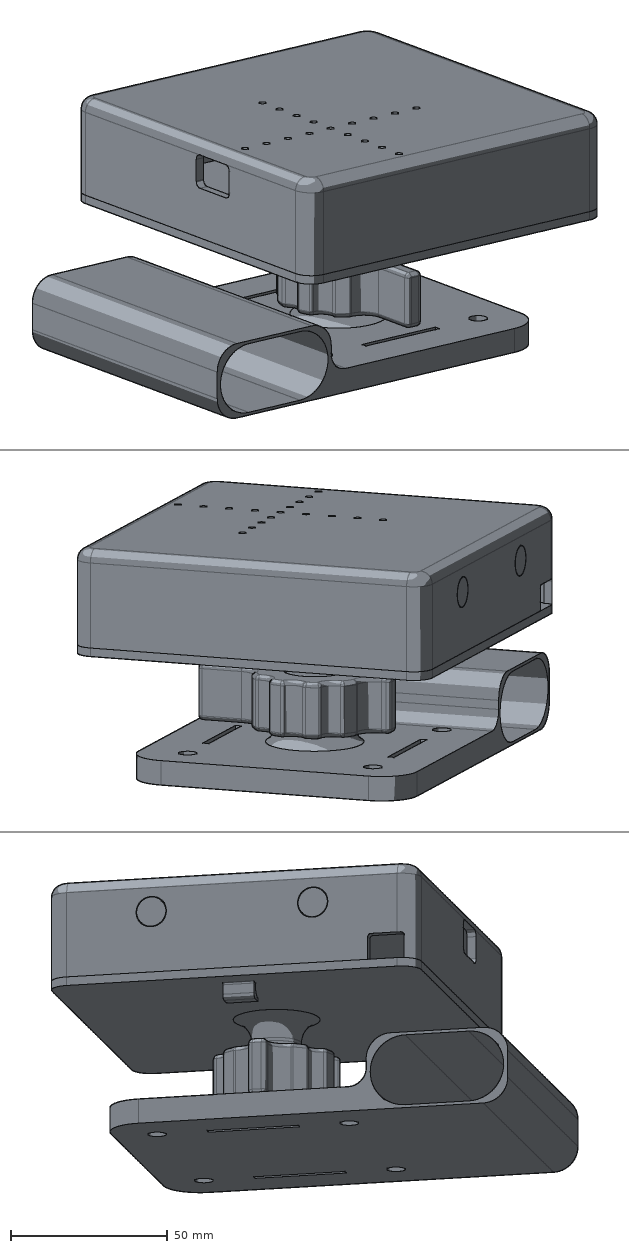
import cadquery as cq
import math


CASE_X = 120.8
CASE_Y = 121.7
CASE_TOP = 78.2
CASE_HEIGHT = 34.6
CASE_CORNER = 6.4
CASE_TOP_ROUND = 4.0
WALL = 3.0
CAVITY_CORNER = 2.2
LID_BOTTOM = CASE_TOP - CASE_HEIGHT
LID_THICKNESS = 2.8
SEAM_Z = LID_BOTTOM + LID_THICKNESS

FRONT_WINDOW_LEFT = 3.0
FRONT_WINDOW_WIDTH = 17.0
FRONT_WINDOW_HEIGHT = 11.1
FRONT_WINDOW_ROUND = 2.0
FRONT_WINDOW_TOP = CASE_TOP - CASE_TOP_ROUND

SIDE_WINDOW_Y = -50.7
SIDE_WINDOW_WIDTH = 11.9
SIDE_WINDOW_HEIGHT = 8.5
SIDE_WINDOW_ROUND = 1.0

CROSS_X = 18.5
CROSS_Y = -18.1
CROSS_PITCH = 8.8
CROSS_ARM_HOLES = 4
CROSS_HOLE_DIAMETER = 2.2

INSERT_DIAMETER = 9.7
INSERT_HOLE_DIAMETER = 10.0
INSERT_Y = 26.6
INSERT_Z = 66.3

HOOK_LEFT = -51.7
HOOK_NECK = 2.1
HOOK_REACH = 5.3
HOOK_HEIGHT = 5.3
HOOK_LIP = 1.0
HOOK_WIDTH = 10.3
HOOK_ROUND = 1.6
HOOK_ROOT_ROUND = 0.6
HOOK_THROAT = HOOK_REACH - HOOK_NECK

FLANGE_DIAMETER = 27.8
NECK_DIAMETER = 15.9
NECK_LENGTH = 1.0
NECK_FLARE = 8.0
BALL_DIAMETER = 22.7
BALL_RADIUS = BALL_DIAMETER / 2
NECK_RADIUS = NECK_DIAMETER / 2
FLARE_CENTRE_R = NECK_RADIUS + NECK_FLARE
NECK_TOP = LID_BOTTOM - math.sqrt(NECK_FLARE**2 - (FLARE_CENTRE_R - FLANGE_DIAMETER / 2) ** 2)
NECK_BOTTOM = NECK_TOP - NECK_LENGTH
FLARE_TO_BALL = NECK_FLARE + BALL_RADIUS
BALL_Z = NECK_BOTTOM - math.sqrt(FLARE_TO_BALL**2 - FLARE_CENTRE_R**2)

HOLDER_WIDTH = 95.1
HOLDER_FRONT = CASE_Y / 2 - 148.6
HOLDER_BACK = 45.9
PLATE_THICKNESS = 8.0
PLATE_CORNER = 12.0
TUBE_LENGTH = 46.7
TUBE_HEIGHT = 25.0
TUBE_ROUND = 8.0
TUBE_OPENING_LENGTH = 44.0
TUBE_OPENING_HEIGHT = 23.0
TUBE_FILLET = 6.0
TUBE_BACK = HOLDER_FRONT + TUBE_LENGTH
PLATE_HOLE_DIAMETER = 6.0
PLATE_HOLE_OFFSET = 31.7
SLOT_LENGTH = 30.0
SLOT_WIDTH = 2.1

POST_FOOT_DIAMETER = 31.5
POST_DIAMETER = 25.3
POST_FLARE_TOP = 12.8
POST_FLARE_RADIUS = 6.7

NUT_BOTTOM = 12.8
NUT_TOP = 31.2
NUT_RADIUS = 20.4
NUT_OPENING_DIAMETER = 19.9
NUT_EDGE_ROUND = 1.5
WING_SHORT = 26.9
WING_LONG = 39.0
WING_WIDTH = 6.0
WING_CORNER = 1.5
WING_SCOOP_RADIUS = 6.0
WING_SCOOP_X = 23.9
WING_SCOOP_Y = WING_WIDTH / 2 + WING_SCOOP_RADIUS
FLUTE_PITCH_ANGLE = 36
FLUTE_RADIUS = 4.0
FLUTE_CENTRE_R = 22.0
FLUTES_PER_SIDE = 3
LAND_ROUND = 1.2


def rounded_block(size_x, size_y, bottom, top, corner):
    """Block centred on the Z axis with rounded vertical edges."""
    block = cq.Workplane("XY").workplane(offset=bottom).rect(size_x, size_y).extrude(top - bottom)
    return block.edges("|Z").fillet(corner)


def cylinder(diameter, bottom, top):
    """Vertical cylinder on the Z axis."""
    return cq.Workplane("XY").workplane(offset=bottom).circle(diameter / 2).extrude(top - bottom)


def make_ball():
    return cq.Workplane("XY").sphere(BALL_RADIUS).translate((0, 0, BALL_Z))


def front_window():
    return (
        cq.Workplane("XY")
        .box(FRONT_WINDOW_WIDTH, 2 * WALL, FRONT_WINDOW_HEIGHT)
        .edges("|Y")
        .fillet(FRONT_WINDOW_ROUND)
        .translate((
            FRONT_WINDOW_LEFT + FRONT_WINDOW_WIDTH / 2,
            -CASE_Y / 2 + WALL / 2,
            FRONT_WINDOW_TOP - FRONT_WINDOW_HEIGHT / 2,
        ))
    )


def side_window():
    return (
        cq.Workplane("XY")
        .box(2 * CASE_CORNER, SIDE_WINDOW_WIDTH, SIDE_WINDOW_HEIGHT)
        .edges("|X and >Z")
        .fillet(SIDE_WINDOW_ROUND)
        .translate((-CASE_X / 2, SIDE_WINDOW_Y, SEAM_Z + SIDE_WINDOW_HEIGHT / 2))
    )


def cross_holes():
    steps = [i * CROSS_PITCH for i in range(-CROSS_ARM_HOLES, CROSS_ARM_HOLES + 1)]
    row = [(CROSS_X + step, CROSS_Y) for step in steps]
    column = [(CROSS_X, CROSS_Y + step) for step in steps if step != 0]
    return (
        cq.Workplane("XY")
        .workplane(offset=CASE_TOP - WALL)
        .pushPoints(row + column)
        .circle(CROSS_HOLE_DIAMETER / 2)
        .extrude(WALL)
    )


def wall_disc(diameter, y):
    """Disc through the thickness of the left wall."""
    disc = cq.Workplane("YZ").workplane(offset=-CASE_X / 2).center(y, INSERT_Z)
    return disc.circle(diameter / 2).extrude(WALL)


def make_cover():
    cover = rounded_block(CASE_X, CASE_Y, SEAM_Z, CASE_TOP, CASE_CORNER)
    cover = cover.faces(">Z").edges().fillet(CASE_TOP_ROUND)
    cavity = rounded_block(CASE_X - 2 * WALL, CASE_Y - 2 * WALL, SEAM_Z, CASE_TOP - WALL, CAVITY_CORNER)
    cover = cover.cut(cavity).cut(front_window()).cut(side_window()).cut(cross_holes())
    for y in (-INSERT_Y, INSERT_Y):
        cover = cover.cut(wall_disc(INSERT_HOLE_DIAMETER, y))
    return cover


def make_insert(y):
    return wall_disc(INSERT_DIAMETER, y)


def make_hook():
    bottom = LID_BOTTOM - HOOK_HEIGHT
    lip_top = bottom + HOOK_LIP
    neck_right = HOOK_LEFT + HOOK_NECK
    tip = HOOK_LEFT + HOOK_REACH
    bend = HOOK_THROAT * (1 - math.sqrt(0.5))
    hook = (
        cq.Workplane("XZ")
        .moveTo(HOOK_LEFT, LID_BOTTOM)
        .lineTo(HOOK_LEFT, bottom)
        .lineTo(tip, bottom)
        .lineTo(tip, lip_top)
        .threePointArc((neck_right + bend, lip_top + bend), (neck_right, lip_top + HOOK_THROAT))
        .lineTo(neck_right, LID_BOTTOM)
        .close()
        .extrude(HOOK_WIDTH / 2, both=True)
    )
    return hook.edges("|Y and <X and <Z").fillet(HOOK_ROUND)


def make_stud():
    """Flared neck ending in the ball, revolved about Z."""
    upper_angle = math.asin((LID_BOTTOM - NECK_TOP) / NECK_FLARE) / 2
    lower_angle = math.acos(FLARE_CENTRE_R / FLARE_TO_BALL)

    def on_flare(centre_z, angle):
        r = FLARE_CENTRE_R - NECK_FLARE * math.cos(angle)
        return (r, centre_z + NECK_FLARE * math.sin(angle))

    neck = (
        cq.Workplane("XZ")
        .moveTo(0, LID_BOTTOM)
        .lineTo(FLANGE_DIAMETER / 2, LID_BOTTOM)
        .threePointArc(on_flare(NECK_TOP, upper_angle), (NECK_RADIUS, NECK_TOP))
        .lineTo(NECK_RADIUS, NECK_BOTTOM)
        .threePointArc(on_flare(NECK_BOTTOM, -lower_angle / 2), on_flare(NECK_BOTTOM, -lower_angle))
        .lineTo(0, BALL_Z)
        .close()
        .revolve(360, (0, 0, 0), (0, 1, 0))
    )
    return neck.union(make_ball())


def make_lid():
    lid = rounded_block(CASE_X, CASE_Y, LID_BOTTOM, SEAM_Z, CASE_CORNER)
    lid = lid.union(make_hook())
    root_zone = cq.selectors.BoxSelector(
        (HOOK_LEFT - HOOK_NECK, -HOOK_WIDTH, LID_BOTTOM - HOOK_LIP),
        (HOOK_LEFT + 2 * HOOK_NECK, HOOK_WIDTH, LID_BOTTOM + HOOK_LIP),
    )
    lid = lid.edges("|Y").edges(root_zone).fillet(HOOK_ROOT_ROUND)
    return lid.union(make_stud())


def make_post():
    """Flared foot and cylinder up to the middle of the ball."""
    return (
        cq.Workplane("XZ")
        .moveTo(0, PLATE_THICKNESS)
        .lineTo(POST_FOOT_DIAMETER / 2, PLATE_THICKNESS)
        .radiusArc((POST_DIAMETER / 2, POST_FLARE_TOP), POST_FLARE_RADIUS)
        .lineTo(POST_DIAMETER / 2, BALL_Z)
        .lineTo(0, BALL_Z)
        .close()
        .revolve(360, (0, 0, 0), (0, 1, 0))
    )


def tube_opening():
    return (
        cq.Workplane("YZ")
        .center(HOLDER_FRONT + TUBE_LENGTH / 2, TUBE_HEIGHT / 2)
        .slot2D(TUBE_OPENING_LENGTH, TUBE_OPENING_HEIGHT)
        .extrude(HOLDER_WIDTH / 2, both=True)
    )


def plate_openings():
    """Four holes at the corners of a square, and a slot midway along its left and right sides."""
    sides = (-PLATE_HOLE_OFFSET, PLATE_HOLE_OFFSET)
    holes = (
        cq.Workplane("XY")
        .pushPoints([(x, y) for x in sides for y in sides])
        .circle(PLATE_HOLE_DIAMETER / 2)
        .extrude(PLATE_THICKNESS)
    )
    slots = (
        cq.Workplane("XY")
        .pushPoints([(x, 0) for x in sides])
        .rect(SLOT_WIDTH, SLOT_LENGTH)
        .extrude(PLATE_THICKNESS)
    )
    return holes.union(slots)


def make_holder():
    holder = (
        cq.Workplane("YZ")
        .moveTo(HOLDER_FRONT, 0)
        .lineTo(HOLDER_BACK, 0)
        .lineTo(HOLDER_BACK, PLATE_THICKNESS)
        .lineTo(TUBE_BACK, PLATE_THICKNESS)
        .lineTo(TUBE_BACK, TUBE_HEIGHT)
        .lineTo(HOLDER_FRONT, TUBE_HEIGHT)
        .close()
        .extrude(HOLDER_WIDTH / 2, both=True)
    )
    holder = holder.edges("|Z and >Y").fillet(PLATE_CORNER)
    holder = holder.edges("|X and (<Y or >Z)").fillet(TUBE_ROUND)
    inner_corner = cq.selectors.NearestToPointSelector((0, TUBE_BACK, PLATE_THICKNESS))
    holder = holder.edges(inner_corner).fillet(TUBE_FILLET)
    holder = holder.cut(tube_opening()).cut(plate_openings())
    return holder.union(make_post()).cut(make_ball())


def wing_scoops():
    """Four cutters whose round sides run tangent into the wings."""
    corners = [(x, y) for x in (-WING_SCOOP_X, WING_SCOOP_X) for y in (-WING_SCOOP_Y, WING_SCOOP_Y)]
    scoops = cq.Workplane("XY").workplane(offset=NUT_BOTTOM).pushPoints(corners)
    return scoops.circle(WING_SCOOP_RADIUS).extrude(NUT_TOP - NUT_BOTTOM)


def flutes():
    cutters = cq.Workplane("XY").workplane(offset=NUT_BOTTOM)
    for side in (90, 270):
        first = side - FLUTE_PITCH_ANGLE * (FLUTES_PER_SIDE - 1) / 2
        cutters = cutters.polarArray(
            FLUTE_CENTRE_R, first, FLUTE_PITCH_ANGLE * (FLUTES_PER_SIDE - 1), FLUTES_PER_SIDE
        ).circle(FLUTE_RADIUS)
    return cutters.extrude(NUT_TOP - NUT_BOTTOM)


def wings():
    """Bar from one wing tip to the other, with rounded tip corners."""
    bar = (
        cq.Workplane("XY")
        .workplane(offset=NUT_BOTTOM)
        .center((WING_LONG - WING_SHORT) / 2, 0)
        .rect(WING_SHORT + WING_LONG, WING_WIDTH)
        .extrude(NUT_TOP - NUT_BOTTOM)
    )
    return bar.edges("|Z").fillet(WING_CORNER)


def nut_bore():
    """Bore that fits the post and the ball, opening around the neck."""
    post_bore = cylinder(POST_DIAMETER, NUT_BOTTOM, BALL_Z)
    opening = cylinder(NUT_OPENING_DIAMETER, BALL_Z, NUT_TOP)
    return post_bore.union(opening).union(make_ball())


def make_nut():
    height = NUT_TOP - NUT_BOTTOM
    webs = (
        cq.Workplane("XY")
        .workplane(offset=NUT_BOTTOM)
        .rect(2 * WING_SCOOP_X, 2 * WING_SCOOP_Y)
        .extrude(height)
    )
    nut = cylinder(2 * NUT_RADIUS, NUT_BOTTOM, NUT_TOP).union(webs).cut(wing_scoops()).cut(flutes())
    land_zone = cq.selectors.BoxSelector(
        (-NUT_RADIUS, -NUT_RADIUS, NUT_BOTTOM), (NUT_RADIUS, NUT_RADIUS, NUT_TOP)
    )
    nut = nut.edges("|Z").edges(land_zone).fillet(LAND_ROUND)
    nut = nut.union(wings())
    nut = nut.faces("<Z or >Z").edges().fillet(NUT_EDGE_ROUND)
    return nut.cut(nut_bore())


cover = make_cover()
lid = make_lid()
holder = make_holder()
nut = make_nut()
inserts = [make_insert(y) for y in (-INSERT_Y, INSERT_Y)]

result = cq.Compound.makeCompound([
    cover.val(),
    lid.val(),
    holder.val(),
    nut.val(),
    *[insert.val() for insert in inserts],
])